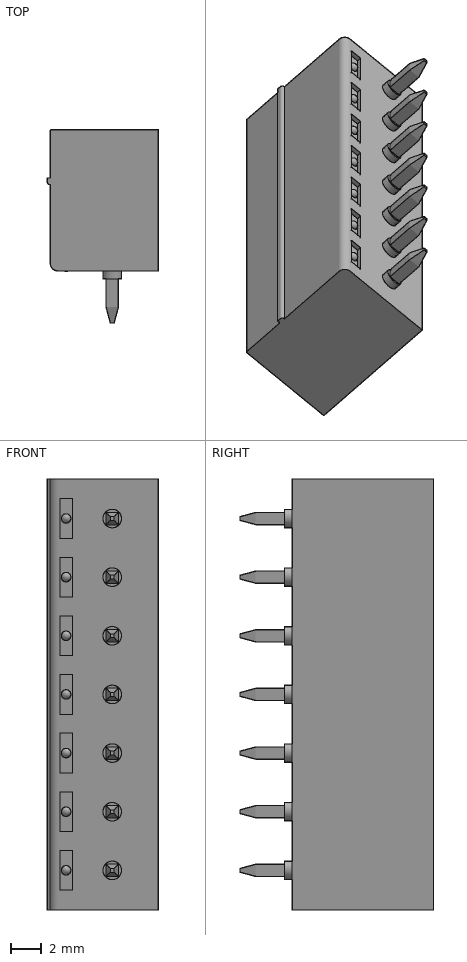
import cadquery as cq

total_width = 7.25
total_depth = 12.6
height = 28.05

ridge_height = 0.2
ridge_flat = 0.25
ridge_back_y = 6.05

pin_count = 7
pin_pitch = 3.82
pin_x = 4.05
collar_diameter = 1.2
collar_length = 0.5
pin_length = 3.4
point_length = 1.05
shank_side = 0.8
tip_side = 0.25

housing_width = total_width - ridge_height
housing_depth = total_depth - pin_length
front_edge_radius = 0.5
back_edge_radius = 0.08

recess_x = 1.05
recess_width = 0.8
recess_height = 2.58
recess_depth = 0.28
dome_radius = 0.3

pin_heights = [
    height / 2 + (i - (pin_count - 1) / 2) * pin_pitch for i in range(pin_count)
]


def make_housing():
    """Upright block with its two -X corners rounded."""
    block = cq.Workplane("XY").box(housing_width, housing_depth, height, centered=False)
    block = block.edges("|Z and <X and <Y").fillet(front_edge_radius)
    return block.edges("|Z and <X and >Y").fillet(back_edge_radius)


def make_ridge():
    """Ridge with a square +Y side and a quarter-round -Y side."""
    flat_end_y = ridge_back_y - ridge_flat
    return (
        cq.Workplane("XY")
        .moveTo(ridge_height, ridge_back_y)
        .lineTo(-ridge_height, ridge_back_y)
        .lineTo(-ridge_height, flat_end_y)
        .radiusArc((0, flat_end_y - ridge_height), -ridge_height)
        .lineTo(ridge_height, flat_end_y - ridge_height)
        .close()
        .extrude(height)
    )


def front_plane(x, y, z):
    """Plane parallel to the -Y face, with its normal along -Y."""
    return cq.Workplane("XZ", origin=(x, y, z))


def make_pin(z):
    """Pin pointing along -Y from the housing."""
    shank_end = pin_length - point_length
    collar = front_plane(pin_x, 0, z).circle(collar_diameter / 2).extrude(collar_length)
    shank = front_plane(pin_x, 0, z).rect(shank_side, shank_side).extrude(shank_end)
    point = (
        front_plane(pin_x, -shank_end, z)
        .rect(shank_side, shank_side)
        .workplane(offset=point_length)
        .rect(tip_side, tip_side)
        .loft(ruled=True)
    )
    return collar.union(shank).union(point)


def make_recess(z):
    return front_plane(recess_x, 0, z).rect(recess_width, recess_height).extrude(-recess_depth)


def make_dome(z):
    """Sphere half sunk into the recess floor."""
    return cq.Workplane("XY").sphere(dome_radius).translate((recess_x, recess_depth, z))


result = make_housing().union(make_ridge())
for pin_z in pin_heights:
    result = result.cut(make_recess(pin_z))
    result = result.union(make_dome(pin_z))
    result = result.union(make_pin(pin_z))